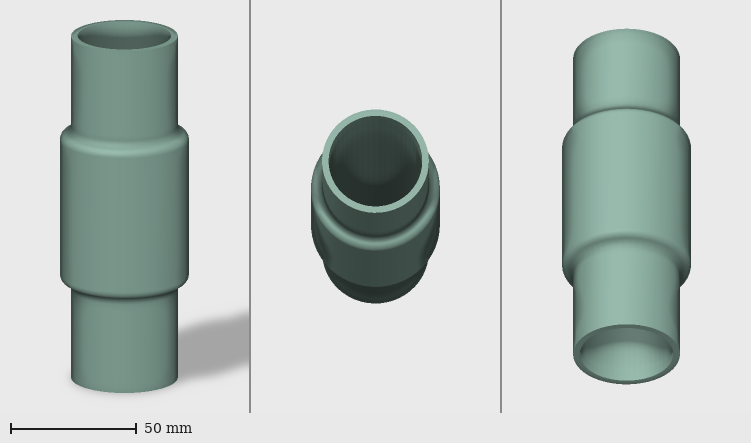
import cadquery as cq
import math

LENGTH = 142.0
BODY_DIAMETER = 51.3
PIPE_DIAMETER = 42.5
BORE_DIAMETER = 37.2

PIPE_END_LENGTH = 37.0
SHOULDER_LENGTH = 6.0

body_radius = BODY_DIAMETER / 2
pipe_radius = PIPE_DIAMETER / 2
bore_radius = BORE_DIAMETER / 2

half_length = LENGTH / 2
shoulder_outer_z = half_length - PIPE_END_LENGTH
shoulder_inner_z = shoulder_outer_z - SHOULDER_LENGTH

arc_height = SHOULDER_LENGTH / 2
arc_width = (body_radius - pipe_radius) / 2
arc_radius = (arc_height**2 + arc_width**2) / (2 * arc_width)
half_sweep = math.asin(arc_height / arc_radius) / 2

bulge_width = arc_radius * (1 - math.cos(half_sweep))
bulge_height = arc_radius * math.sin(half_sweep)

pipe_start = (pipe_radius, shoulder_outer_z)
pipe_arc_middle = (pipe_radius + bulge_width, shoulder_outer_z - bulge_height)
arc_junction = (pipe_radius + arc_width, shoulder_outer_z - arc_height)
body_arc_middle = (body_radius - bulge_width, shoulder_inner_z + bulge_height)
body_start = (body_radius, shoulder_inner_z)


def below(point):
    """Mirror a profile point to the lower half of the part."""
    radius, height = point
    return (radius, -height)


wall_section = (
    cq.Workplane("XZ")
    .moveTo(bore_radius, half_length)
    .lineTo(pipe_radius, half_length)
    .lineTo(*pipe_start)
    .threePointArc(pipe_arc_middle, arc_junction)
    .threePointArc(body_arc_middle, body_start)
    .lineTo(*below(body_start))
    .threePointArc(below(body_arc_middle), below(arc_junction))
    .threePointArc(below(pipe_arc_middle), below(pipe_start))
    .lineTo(pipe_radius, -half_length)
    .lineTo(bore_radius, -half_length)
    .close()
)
result = wall_section.revolve(360, (0, 0, 0), (0, 1, 0))